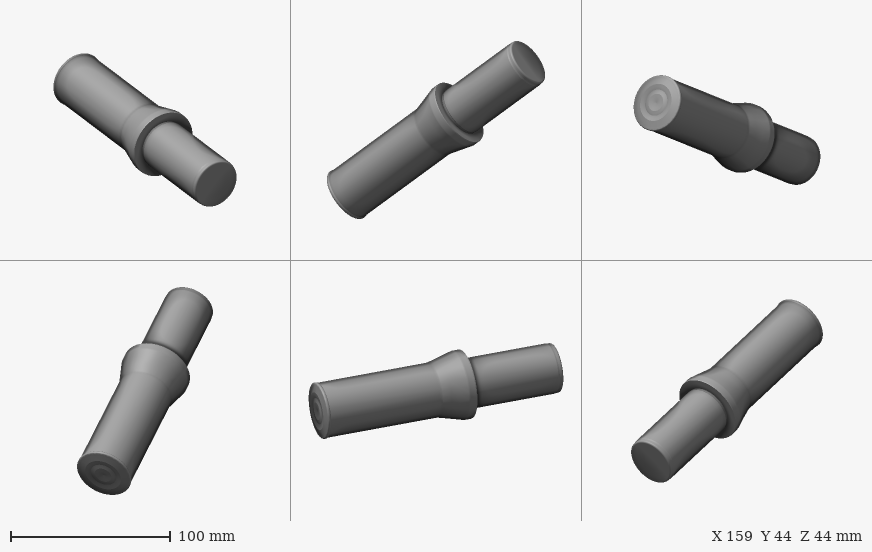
import cadquery as cq

total_length = 159.0
rim_start = 0.8
rim_end = 2.0
handle_start = 3.2
flare_start = 76.3
cone_start = 77.8
cone_end = 93.7
collar_start = 94.6
collar_end = 99.0
sleeve_start = 100.5
sleeve_end = 156.5
spigot_round = 1.1

handle_radius = 35.0 / 2
rim_radius = 18.0
face_radius = 16.0
crest_radius = 12.0
valley_radius = 8.5
inner_crest_radius = 5.5
collar_radius = 44.0 / 2
spigot_radius = 31.5 / 2
sleeve_radius = 32.0 / 2

cone_slope = (collar_radius - handle_radius) / (
    (cone_end + collar_start) / 2 - (flare_start + cone_start) / 2
)
cone_start_radius = handle_radius + cone_slope * (cone_start - flare_start) / 2
cone_end_radius = collar_radius - cone_slope * (collar_start - cone_end) / 2

ripple_depth = 0.5
collar_chamfer = 0.6
collar_chamfer_height = 0.2
sleeve_lead_in = 0.5
sleeve_lead_out = 1.0
centre_mark_radius = 0.2


def revolve_about_x(profile):
    return profile.close().revolve(360, (0, 0, 0), (1, 0, 0))


def make_post():
    """Handle with rippled end face, conical collar and plain spigot."""
    profile = (
        cq.Workplane("XY")
        .moveTo(ripple_depth, 0)
        .lineTo(ripple_depth, centre_mark_radius)
        .lineTo(0, inner_crest_radius)
        .lineTo(ripple_depth, valley_radius)
        .lineTo(0, crest_radius)
        .lineTo(rim_start, face_radius)
        .spline([(rim_end, rim_radius)], tangents=[(0, 1), (1, 0)], includeCurrent=True)
        .tangentArcPoint((handle_start, handle_radius), relative=False)
        .lineTo(flare_start, handle_radius)
        .tangentArcPoint((cone_start, cone_start_radius), relative=False)
        .lineTo(cone_end, cone_end_radius)
        .tangentArcPoint((collar_start, collar_radius), relative=False)
        .lineTo(collar_end - collar_chamfer, collar_radius)
        .lineTo(collar_end, collar_radius - collar_chamfer_height)
        .lineTo(collar_end, spigot_radius)
        .lineTo(total_length - spigot_round, spigot_radius)
        .radiusArc((total_length, spigot_radius - spigot_round), spigot_round)
        .lineTo(total_length, 0)
    )
    return revolve_about_x(profile)


def make_sleeve():
    """Thin sleeve around the spigot, bevelled at both ends."""
    profile = (
        cq.Workplane("XY")
        .moveTo(sleeve_start, spigot_radius)
        .lineTo(sleeve_start + sleeve_lead_in, sleeve_radius)
        .lineTo(sleeve_end - sleeve_lead_out, sleeve_radius)
        .lineTo(sleeve_end, spigot_radius)
    )
    return revolve_about_x(profile)


post = make_post()
sleeve = make_sleeve()
result = cq.Compound.makeCompound([post.val(), sleeve.val()])